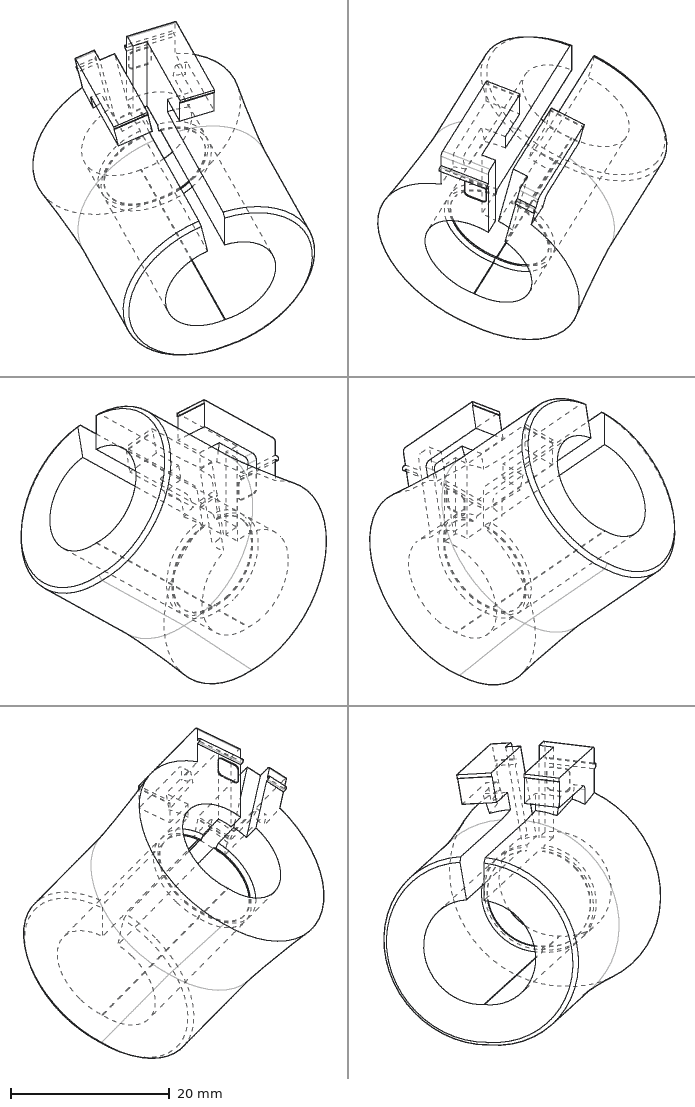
import cadquery as cq
import math


body_length = 27.8
flare_length = 12.3
body_radius = 12.5
flare_radius = 13.6
flare_bow = 0.12
rear_chamfer = 0.55

bore_radius = 6.95
ridge_height = 0.6
ridge_start = 5.5
ridge_base = 1.0
ridge_crown = 0.2
ridge_radius = bore_radius - ridge_height

opening_angle = 10.0
hinge_drop = 6.45

jaw_top = 18.96
jaw_width = 4.7
jaw_length = 13.0
foot_length = 3.48
beam_bottom = 15.0
foot_fillet = 0.7
front_edge_radius = 0.5
lip_depth = 0.1
lip_height = 0.5
web_length = 8.84
web_width = 3.37
web_draft = 10.0

tongue_width = 1.95
tongue_length = 2.1
step_width = 2.05

rib_height = 16.25
rib_thickness = 0.64
rib_projection = 0.6

label_size = 3.07
label_depth = 0.15
label_corner = 0.6
label_center_y = -0.1
label_center_z = 13.95


def box(x_range, y_range, z_range):
    """Axis-aligned box between the given limits."""
    size = [high - low for low, high in (x_range, y_range, z_range)]
    corner = (x_range[0], y_range[0], z_range[0])
    return cq.Workplane("XY").box(*size, centered=False).translate(corner)


def bore():
    """Through bore with the trapezoidal ridge left standing in it."""
    ridge_flank = (ridge_base - ridge_crown) / 2
    crown_start = ridge_start + ridge_flank
    crown_end = crown_start + ridge_crown
    profile = (
        cq.Workplane("XY")
        .lineTo(0, bore_radius)
        .lineTo(ridge_start, bore_radius)
        .lineTo(crown_start, ridge_radius)
        .lineTo(crown_end, ridge_radius)
        .lineTo(ridge_start + ridge_base, bore_radius)
        .lineTo(body_length, bore_radius)
        .lineTo(body_length, 0)
        .close()
    )
    return profile.revolve(360, (0, 0, 0), (1, 0, 0))


def half_body():
    """Solid half collar on the +Y side, flared toward the front."""
    flare_mid_radius = (flare_radius + body_radius) / 2 - flare_bow
    profile = (
        cq.Workplane("XY")
        .lineTo(0, flare_radius)
        .threePointArc((flare_length / 2, flare_mid_radius), (flare_length, body_radius))
        .lineTo(body_length - rear_chamfer, body_radius)
        .lineTo(body_length, body_radius - rear_chamfer)
        .lineTo(body_length, 0)
        .close()
    )
    full_body = profile.revolve(360, (0, 0, 0), (1, 0, 0))
    half_space = box((0, body_length), (0, flare_radius), (-flare_radius, flare_radius))
    return full_body.intersect(half_space)


def web():
    """Web under the beam, with a drafted outer face."""
    base_width = web_width - beam_bottom * math.tan(math.radians(web_draft))
    return (
        cq.Workplane("YZ")
        .lineTo(base_width, 0)
        .lineTo(web_width, beam_bottom)
        .lineTo(0, beam_bottom)
        .close()
        .extrude(web_length)
    )


def foot_and_beam():
    """Side profile of the jaw, with the beam overhanging the body behind the foot."""
    beam_end = jaw_length - lip_depth
    arc_offset = foot_fillet * (1 - math.sqrt(0.5))
    return (
        cq.Workplane("XZ")
        .lineTo(0, jaw_top)
        .lineTo(jaw_length, jaw_top)
        .lineTo(jaw_length, jaw_top - lip_height)
        .lineTo(beam_end, jaw_top - lip_height)
        .lineTo(beam_end, beam_bottom)
        .lineTo(foot_length + foot_fillet, beam_bottom)
        .threePointArc(
            (foot_length + arc_offset, beam_bottom - arc_offset),
            (foot_length, beam_bottom - foot_fillet),
        )
        .lineTo(foot_length, 0)
        .close()
        .extrude(-jaw_width)
    )


def rib(inner_y):
    """Rib across the front of a jaw, with a half-round tip."""
    tip_radius = rib_thickness / 2
    tip_center_x = tip_radius - rib_projection
    return (
        cq.Workplane("XZ", origin=(0, inner_y, 0))
        .moveTo(tongue_length / 2, rib_height - tip_radius)
        .lineTo(tip_center_x, rib_height - tip_radius)
        .threePointArc((-rib_projection, rib_height), (tip_center_x, rib_height + tip_radius))
        .lineTo(tongue_length / 2, rib_height + tip_radius)
        .close()
        .extrude(inner_y - jaw_width)
    )


def collar_half(front_y):
    """Half collar with its jaw; front_y, the inner side of the jaw front, is below 0 for a tongue."""
    front_x = (0, tongue_length)
    upper_z = (0, jaw_top)

    half = half_body().union(foot_and_beam()).union(web())
    if front_y < 0:
        half = half.union(box(front_x, (front_y, jaw_width), upper_z))
    else:
        half = half.cut(box(front_x, (0, front_y), upper_z))
    top_front_edge = cq.selectors.BoxSelector(
        (-front_edge_radius, front_y, jaw_top - front_edge_radius),
        (front_edge_radius, jaw_width, jaw_top + front_edge_radius),
    )
    half = half.edges(top_front_edge).edges("|Y").fillet(front_edge_radius)
    return half.cut(bore()).union(rib(front_y))


def label_recess():
    """Shallow rounded-square recess."""
    return (
        box(
            (0, label_depth),
            (label_center_y - label_size / 2, label_center_y + label_size / 2),
            (label_center_z - label_size / 2, label_center_z + label_size / 2),
        )
        .edges("|X")
        .fillet(label_corner)
    )


fixed_half = collar_half(-tongue_width).cut(label_recess())
spread_half = (
    collar_half(step_width)
    .mirror("XZ")
    .rotate((0, 0, -hinge_drop), (1, 0, -hinge_drop), opening_angle)
)
result = fixed_half.union(spread_half)